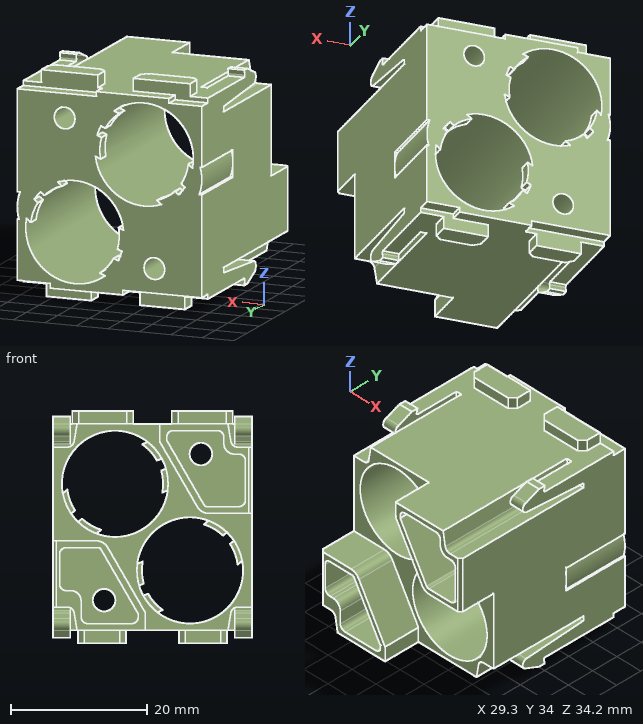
import cadquery as cq
import math

WIDTH = 29.3
LENGTH = 34.0
BODY_HEIGHT = 30.37
TOTAL_HEIGHT = 34.2
HALF_WIDTH = WIDTH / 2
HALF_HEIGHT = BODY_HEIGHT / 2
BACK_Y = LENGTH / 2
FRONT_Y = -LENGTH / 2
TOWER_LENGTH = 6.87
BLOCK_FRONT_Y = FRONT_Y + TOWER_LENGTH

BORE_RADIUS = 7.8
BORE_X = -5.5
BORE_Z = 6.35
LUG_INNER_RADIUS = 7.05
LUG_INNER_OFFSET = 0.8
LUG_OUTER_OFFSET = 3.85
LUG_LENGTH = 2.05
LUG_PAIR_ANGLES = (22.5, 220)

WALL = 1.0
TOWER_TOP_Z = -2.02
TOWER_BEND_X = -7.15
TOWER_SIDE_X = -1.1
TOWER_BEND_RADIUS = 1.95
TOWER_SLANT = math.radians(60)
TOWER_CHAMFER = 0.5
POCKET_DEPTH = 20.52
POCKET_FILLET = 1.0
POCKET_BEND_RADIUS = 0.5
POCKET_STEP_X = -10.5
LOWER_POCKET_STEP_Z = -9.35
UPPER_POCKET_STEP_Z = -10.75
POCKET_STEP_RADIUS = 1.5
PIN_HOLE_RADIUS = 1.65
PIN_HOLE_X = -7.1
PIN_HOLE_Z = -10.75

SLOT_END_Y = 8.48
SLOT_FLOOR_Z = 11.75
SLOT_WALL_FLOOR_X = 11.65
SLOT_WALL_TOP_X = 11.08
SLOT_FILLET = 1.0
LATCH_WIDTH = 2.6
LATCH_TOP_Z = 16.28
LATCH_ROOT_Z = 12.25
LATCH_ROOT_ARC = ((8.4, 12.5), (8.25, 12.6))
LATCH_TIP_BASE_Y = -3.4
LATCH_TIP_END_Y = -4.1
LATCH_TIP_BOTTOM_Z = 13.4
HOOK_RAMP_Y = -0.72
HOOK_BACK_Y = 0.48
HOOK_UNDERCUT = 0.2
HOOK_NECK_Z = 15.53
HOOK_FILLET_BULGE = 0.05

KEY_HEIGHT = (TOTAL_HEIGHT - BODY_HEIGHT) / 2
KEY_LENGTH = 3.65
KEY_CHAMFER = 0.95
TOP_KEY_WIDTH = 9.0
TOP_KEY_X = 7.32
BOTTOM_KEY_WIDTH = 7.1
BOTTOM_KEY_X = 7.42

RIM_LENGTH = 2.35
RIM_DEPTH = 0.72
SHORT_RIM_INNER_X = -9.45
LONG_RIM_INNER_X = 2.12

DOME_RADIUS = 6.5
DOME_CREST_Z = 3.4
DOME_LENGTH = 12.1
DOME_BOTTOM_Z = 1.1
DOME_TOP_Z = 5.23


def rounded_outline(plane, corners):
    """Close a polygon of (u, v, radius) corners, replacing each corner that has a radius by an arc."""
    pieces = []
    for i, (u, v, radius) in enumerate(corners):
        corner = cq.Vector(u, v)
        before = (cq.Vector(*corners[i - 1][:2]) - corner).normalized()
        after = (cq.Vector(*corners[(i + 1) % len(corners)][:2]) - corner).normalized()
        half_angle = before.getAngle(after) / 2
        setback = radius / math.tan(half_angle)
        to_arc = radius / math.sin(half_angle) - radius
        middle = corner + (before + after).normalized() * to_arc
        pieces.append((corner + before * setback, middle, corner + after * setback, radius))

    outline = plane.moveTo(*pieces[0][2].toTuple()[:2])
    for start, middle, end, radius in pieces[1:] + pieces[:1]:
        outline = outline.lineTo(*start.toTuple()[:2])
        if radius:
            outline = outline.threePointArc(middle.toTuple()[:2], end.toTuple()[:2])
    return outline.close()


def section_at(y):
    """Plane across the part at the given Y; extrusions from it run toward the front."""
    return cq.Workplane("XZ", origin=(0, y, 0))


def box(x_range, y_range, z_range):
    size = [high - low for low, high in (x_range, y_range, z_range)]
    corner = [low for low, high in (x_range, y_range, z_range)]
    return cq.Workplane("XY").box(*size, centered=False).translate(tuple(corner))


def half_turn(shape):
    """Turn a shape half a turn about the Y axis."""
    return shape.rotate((0, 0, 0), (0, 1, 0), 180)


def with_half_turn(shape):
    """Pair a shape with its copy turned half a turn about the Y axis."""
    return shape.union(half_turn(shape))


def at_four_corners(shape):
    both_sides = shape.union(shape.mirror("YZ"))
    return both_sides.union(both_sides.mirror("XY"))


def tower():
    slant_bottom_z = TOWER_TOP_Z - (TOWER_SIDE_X - TOWER_BEND_X) * math.tan(TOWER_SLANT)
    corners = [
        (-HALF_WIDTH, -HALF_HEIGHT, 0),
        (-HALF_WIDTH, TOWER_TOP_Z, 0),
        (TOWER_BEND_X, TOWER_TOP_Z, TOWER_BEND_RADIUS),
        (TOWER_SIDE_X, slant_bottom_z, 0),
        (TOWER_SIDE_X, -HALF_HEIGHT, 0),
    ]
    solid = rounded_outline(section_at(BLOCK_FRONT_Y), corners).extrude(TOWER_LENGTH)
    return solid.edges("<X and <Y").chamfer(TOWER_CHAMFER)


def tower_pocket(step_z):
    left_x = -HALF_WIDTH + WALL
    right_x = TOWER_SIDE_X - WALL
    top_z = TOWER_TOP_Z - WALL
    bottom_z = -HALF_HEIGHT + WALL
    bend_x = TOWER_BEND_X - WALL * math.tan(TOWER_SLANT / 2)
    slant_bottom_z = top_z - (right_x - bend_x) * math.tan(TOWER_SLANT)
    corners = [
        (left_x, step_z, POCKET_FILLET),
        (left_x, top_z, POCKET_FILLET),
        (bend_x, top_z, POCKET_BEND_RADIUS),
        (right_x, slant_bottom_z, 0),
        (right_x, bottom_z, POCKET_FILLET),
        (POCKET_STEP_X, bottom_z, POCKET_FILLET),
        (POCKET_STEP_X, step_z, POCKET_STEP_RADIUS),
    ]
    return rounded_outline(section_at(FRONT_Y + POCKET_DEPTH), corners).extrude(POCKET_DEPTH)


def through_hole(x, z, radius):
    return section_at(BACK_Y).center(x, z).circle(radius).extrude(LENGTH)


def bore_lugs():
    """Two pairs of lugs at the back of a bore, each pair with flanks parallel to its bisector."""
    ring = section_at(BACK_Y).circle(BORE_RADIUS).circle(LUG_INNER_RADIUS).extrude(LUG_LENGTH)
    lug_width = LUG_OUTER_OFFSET - LUG_INNER_OFFSET
    lug_middle = (LUG_OUTER_OFFSET + LUG_INNER_OFFSET) / 2
    strips = (
        section_at(BACK_Y)
        .pushPoints([(BORE_RADIUS / 2, lug_middle), (BORE_RADIUS / 2, -lug_middle)])
        .rect(BORE_RADIUS, lug_width)
        .extrude(LUG_LENGTH)
    )
    first, second = [ring.intersect(strips.rotate((0, 0, 0), (0, -1, 0), angle)) for angle in LUG_PAIR_ANGLES]
    return first.union(second).translate((BORE_X, 0, BORE_Z))


def corner_slot():
    corners = [
        (HALF_WIDTH, SLOT_FLOOR_Z, 0),
        (SLOT_WALL_FLOOR_X, SLOT_FLOOR_Z, SLOT_FILLET),
        (SLOT_WALL_TOP_X, HALF_HEIGHT, 0),
        (HALF_WIDTH, HALF_HEIGHT, 0),
    ]
    return rounded_outline(section_at(SLOT_END_Y), corners).extrude(SLOT_END_Y - FRONT_Y)


def latch():
    """Tapered spring arm with a round tip, a ramp and an undercut hook."""
    tip_middle_z = (LATCH_TIP_BOTTOM_Z + HALF_HEIGHT) / 2
    neck_y = HOOK_BACK_Y - HOOK_UNDERCUT
    neck_middle_z = (HOOK_NECK_Z + HALF_HEIGHT) / 2
    profile = (
        cq.Workplane("YZ", origin=(HALF_WIDTH - LATCH_WIDTH, 0, 0))
        .moveTo(SLOT_END_Y, HALF_HEIGHT)
        .lineTo(SLOT_END_Y, LATCH_ROOT_Z)
        .threePointArc(*LATCH_ROOT_ARC)
        .lineTo(LATCH_TIP_BASE_Y, LATCH_TIP_BOTTOM_Z)
        .threePointArc((LATCH_TIP_END_Y, tip_middle_z), (LATCH_TIP_BASE_Y, HALF_HEIGHT))
        .lineTo(HOOK_RAMP_Y, LATCH_TOP_Z)
        .lineTo(HOOK_BACK_Y, LATCH_TOP_Z)
        .lineTo(neck_y, HOOK_NECK_Z)
        .threePointArc((neck_y + HOOK_FILLET_BULGE, neck_middle_z), (HOOK_BACK_Y, HALF_HEIGHT))
        .close()
    )
    return profile.extrude(LATCH_WIDTH)


def key_pair(offset_x, width):
    """Two keys on the top face, chamfered at their front corners."""
    middle_y = BACK_Y - RIM_LENGTH - KEY_LENGTH / 2
    keys = (
        cq.Workplane("XY", origin=(0, middle_y, HALF_HEIGHT))
        .pushPoints([(-offset_x, 0), (offset_x, 0)])
        .rect(width, KEY_LENGTH)
        .extrude(KEY_HEIGHT)
    )
    return keys.edges("|Z and <Y").chamfer(KEY_CHAMFER)


def rim_recesses():
    y_range = (BACK_Y - RIM_LENGTH, BACK_Y)
    z_range = (HALF_HEIGHT - RIM_DEPTH, HALF_HEIGHT)
    short = box((-HALF_WIDTH, SHORT_RIM_INNER_X), y_range, z_range)
    long = box((LONG_RIM_INNER_X, HALF_WIDTH), y_range, z_range)
    return short.union(long)


def domed_recess():
    """Side recess whose cylindrical floor just reaches the side face at its crest."""
    y_range = (BACK_Y - DOME_LENGTH, BACK_Y)
    opening = box((-HALF_WIDTH, -HALF_WIDTH + DOME_RADIUS), y_range, (DOME_BOTTOM_Z, DOME_TOP_Z))
    dome = (
        section_at(BACK_Y)
        .center(DOME_RADIUS - HALF_WIDTH, DOME_CREST_Z)
        .circle(DOME_RADIUS)
        .extrude(DOME_LENGTH)
    )
    return opening.cut(dome)


block = box((-HALF_WIDTH, HALF_WIDTH), (BLOCK_FRONT_Y, BACK_Y), (-HALF_HEIGHT, HALF_HEIGHT))
block = block.cut(with_half_turn(rim_recesses())).cut(with_half_turn(domed_recess()))
block = block.union(with_half_turn(tower()))
block = block.cut(at_four_corners(corner_slot())).union(at_four_corners(latch()))

block = block.cut(tower_pocket(LOWER_POCKET_STEP_Z))
block = block.cut(half_turn(tower_pocket(UPPER_POCKET_STEP_Z)))
block = block.cut(with_half_turn(through_hole(PIN_HOLE_X, PIN_HOLE_Z, PIN_HOLE_RADIUS)))
block = block.cut(with_half_turn(through_hole(BORE_X, BORE_Z, BORE_RADIUS)))
block = block.union(with_half_turn(bore_lugs()))

top_keys = key_pair(TOP_KEY_X, TOP_KEY_WIDTH)
bottom_keys = key_pair(BOTTOM_KEY_X, BOTTOM_KEY_WIDTH).mirror("XY")
result = block.union(top_keys).union(bottom_keys)